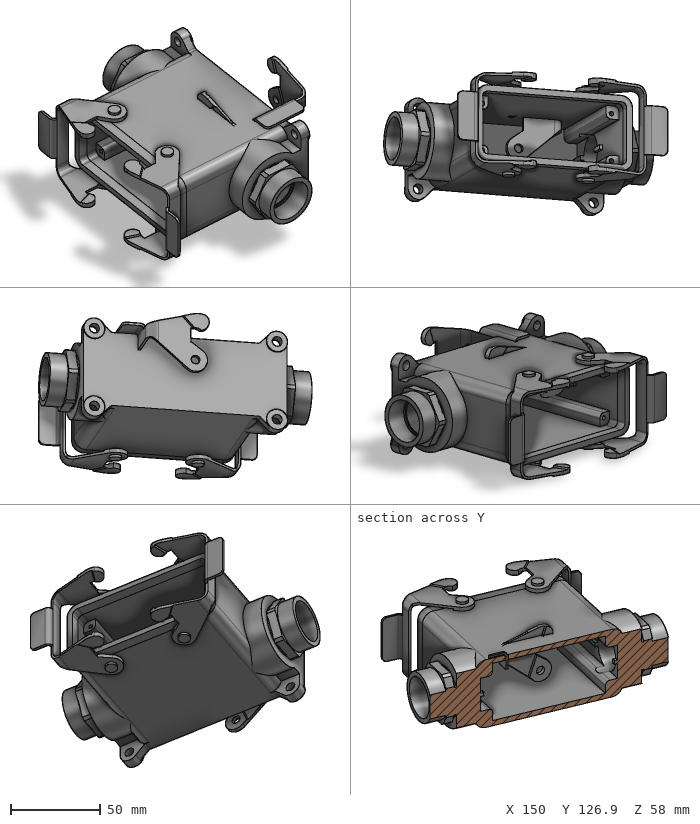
import cadquery as cq
import math


half_width = 46.5
half_height = 21.6
mouth_y = -83.2
rim_depth = 5.7
wall = 3.6
corner_radius = 6.9
seam_y = mouth_y + rim_depth

entry_y = -25.6
entry_face_x = 58.4
bore_diameter = 21.8
neck_diameter = 31.0
neck_length = 1.0
nut_flats = 31.5
nut_rounding_diameter = 35.1
nut_length = 5.5
tube_diameter = 30.0
tube_bore_diameter = 24.3
tube_end_x = 75.0
seat_diameter = 23.7
seat_start_x = 61.8
seat_length = 1.0
saddle_half_height = 15.9

lug_diameter = 12.0
lug_hole_diameter = 5.5
lug_x = entry_face_x - lug_diameter / 2
lug_span = 58.0
lug_z = lug_span / 2 - lug_diameter / 2
lug_front_y = -5.2
lug_pad_height = 1.0
web_blend_radius = 2.0

post_size = 7.6
post_radius = 3.0
post_front_y = -71.1
post_hole_diameter = 2.4
post_hole_depth = 9.0
post_hole_x = 38.4
post_hole_z = 13.5
key_width = 2.0
key_height = 2.5
key_front_y = -45.0

pivot_x = 23.7
pivot_y = -73.2
pin_diameter = 5.0
pin_head_diameter = 7.0
pin_head_height = 1.5

sheet = 1.5
arm_outer = 25.8
bend_radius = 6.0
eye_radius = 6.9
bar_outer = 27.3
bar_start = 12.3
bar_end = 20.1
back_slope = math.radians(40.5)
throat_slope = math.radians(36)
throat_x = 2.7
throat_end = 18.6
hook_x = -3.0
hook_radius = 4.8
hook_z = 22.4
hook_bottom = hook_z + hook_radius
hook_bottom_start = (1.0, 26.8)
hook_bottom_end_x = -4.8
hook_outer = 26.5
hook_inner = 23.4
outer_ramp_foot = (8.2, 25.0)
outer_ramp_direction = (-3.8, -4.2)
outer_ramp_run = 1.2
inner_ramp_foot = (0.5, throat_end)
inner_ramp_direction = (2.0, -5.6)
inner_ramp_run = 1.2
tab_half_length = 14.0
tab_end = 38.8
tab_bend_radius = 1.8
tab_corner_radius = 3.0


def box_between(x0, x1, y0, y1, z0, z1):
    """Box given by its limits along the three axes."""
    box = cq.Workplane("XY").box(x1 - x0, y1 - y0, z1 - z0, centered=False)
    return box.translate((x0, y0, z0))


def rounded_block(inset, start_y, end_y):
    """Block between two Y positions, set in from the rounded outside of the housing."""
    block = box_between(
        inset - half_width, half_width - inset, end_y, start_y, inset - half_height, half_height - inset
    )
    return block.edges("|Y").fillet(corner_radius - inset)


def cylinder_x(diameter, x0, x1):
    """Cylinder on the axis of the cable entries."""
    plane = cq.Workplane("YZ", origin=(x0, entry_y, 0))
    return plane.circle(diameter / 2).extrude(x1 - x0)


def make_entry():
    """Boss, saddle, nut and tube of the cable entry on the +X side, without the bore."""
    inside_x = half_width - corner_radius
    nut_x = entry_face_x + neck_length
    tube_x = nut_x + nut_length
    boss = cylinder_x(2 * half_height, inside_x, entry_face_x)
    saddle = box_between(
        inside_x, entry_face_x, entry_y, 0, -saddle_half_height, saddle_half_height
    )
    neck = cylinder_x(neck_diameter, entry_face_x, nut_x)
    nut = (
        cq.Workplane("YZ", origin=(nut_x, entry_y, 0))
        .transformed(rotate=(0, 0, 30))
        .polygon(6, nut_flats, circumscribed=True)
        .extrude(nut_length)
        .intersect(cylinder_x(nut_rounding_diameter, nut_x, tube_x))
    )
    tube = cylinder_x(tube_diameter, tube_x, tube_end_x)
    return boss.union(saddle).union(neck).union(nut).union(tube)


def make_lug():
    """Upper mounting lug on the +X side, with its web running onto the housing."""
    radius = lug_diameter / 2
    diagonal = radius * math.sqrt(0.5)
    web_top_x = lug_x - diagonal
    web_top_z = lug_z + diagonal
    corner_x = web_top_x - (web_top_z - half_height)
    blend = web_blend_radius * math.tan(math.pi / 8)
    blend_diagonal = blend * math.sqrt(0.5)
    root_x = half_width - corner_radius
    plate = (
        cq.Workplane("XZ")
        .moveTo(lug_x + radius, 0)
        .lineTo(lug_x + radius, lug_z)
        .radiusArc((web_top_x, web_top_z), -radius)
        .lineTo(corner_x + blend_diagonal, half_height + blend_diagonal)
        .radiusArc((corner_x - blend, half_height), web_blend_radius)
        .lineTo(root_x, half_height)
        .lineTo(root_x, 0)
        .close()
        .extrude(-lug_front_y)
    )
    face = cq.Workplane("XZ", origin=(lug_x, lug_pad_height, lug_z))
    thickness = lug_pad_height - lug_front_y
    pad = face.circle(radius).extrude(thickness)
    hole = face.circle(lug_hole_diameter / 2).extrude(thickness)
    return plate.union(pad).cut(hole)


def make_post():
    """Screw post in the upper inner corner on the +X side, rooted halfway into the walls."""
    root = wall / 2
    post = box_between(
        half_width - wall - post_size, half_width - root,
        post_front_y, -root,
        half_height - wall - post_size, half_height - root,
    )
    post = post.edges("|Y and <X and <Z").fillet(post_radius)
    post = post.edges("|Y and >X and >Z").fillet(corner_radius - root)
    hole = (
        cq.Workplane("XZ", origin=(0, post_front_y + post_hole_depth, 0))
        .center(post_hole_x, post_hole_z)
        .circle(post_hole_diameter / 2)
        .extrude(post_hole_depth)
    )
    return post.cut(hole)


def make_key():
    """Small key rib along the inside of the +X wall."""
    inner_x = half_width - wall
    return box_between(
        inner_x - key_width, half_width - wall / 2, key_front_y, -wall / 2, -key_height / 2, key_height / 2
    )


def make_pivot_pin():
    """Headed pin that carries one lever arm, on top of the housing at +X."""
    plane = cq.Workplane("XY").center(pivot_x, pivot_y)
    shaft = plane.workplane(offset=half_height - wall / 2).circle(pin_diameter / 2)
    shaft = shaft.extrude(arm_outer - half_height + wall / 2)
    head = plane.workplane(offset=arm_outer).circle(pin_head_diameter / 2).extrude(pin_head_height)
    return shaft.union(head)


def four_copies(feature):
    """The feature together with its mirror images in the planes X = 0 and Z = 0."""
    pair = feature.union(feature.mirror("YZ"))
    return pair.union(pair.mirror("XY"))


def make_housing(stowed_lever):
    """Housing with entries, lugs, posts and pins, opened where the stowed lever passes."""
    housing = rounded_block(0, 0, seam_y)
    for feature in (make_entry(), make_lug(), make_pivot_pin()):
        housing = housing.union(four_copies(feature))
    housing = housing.cut(rounded_block(wall, -wall, seam_y))
    for feature in (make_post(), make_key()):
        housing = housing.union(four_copies(feature))

    housing = housing.cut(cylinder_x(bore_diameter, -tube_end_x, tube_end_x))
    seat = cylinder_x(seat_diameter, seat_start_x, tube_end_x)
    tube_bore = cylinder_x(tube_bore_diameter, seat_start_x + seat_length, tube_end_x)
    for recess in (seat, tube_bore):
        housing = housing.cut(four_copies(recess))
    return housing.cut(stowed_lever)


def make_rim():
    """Rim that closes the mouth of the housing."""
    return rounded_block(0, seam_y, mouth_y).cut(rounded_block(wall, seam_y, mouth_y))


def lever_outline():
    """Side outline of a lever arm in the XZ plane, with the pivot at the origin."""
    eye_back = (eye_radius * math.sin(back_slope), -eye_radius * math.cos(back_slope))
    eye_front = (-eye_radius * math.sin(throat_slope), eye_radius * math.cos(throat_slope))
    back_end_x = eye_back[0] + (bar_start - eye_back[1]) / math.tan(back_slope)
    throat_z = eye_front[1] + (throat_x - eye_front[0]) * math.tan(throat_slope)
    hook_bottom_end_z = hook_z + math.sqrt(hook_radius**2 - (hook_bottom_end_x - hook_x) ** 2)
    hook_bottom_middle_x = (hook_bottom_start[0] + hook_bottom_end_x) / 2
    throat_hook_x = hook_x + math.sqrt(hook_radius**2 - (hook_z - throat_end) ** 2)
    return (
        cq.Workplane("XZ")
        .moveTo(*eye_back)
        .lineTo(back_end_x, bar_start)
        .lineTo(bar_outer, bar_start)
        .lineTo(bar_outer, bar_end)
        .lineTo(*hook_bottom_start)
        .threePointArc((hook_bottom_middle_x, hook_bottom), (hook_bottom_end_x, hook_bottom_end_z))
        .threePointArc((hook_x - hook_radius, hook_z), (hook_x, hook_z - hook_radius))
        .radiusArc((throat_hook_x, throat_end), hook_radius)
        .lineTo(throat_x, throat_end)
        .lineTo(throat_x, throat_z)
        .lineTo(*eye_front)
        .threePointArc(
            (-eye_radius * math.cos(throat_slope), -eye_radius * math.sin(throat_slope)), eye_back
        )
        .close()
    )


def hook_ramp(foot, direction, low_y, high_y, run):
    """Prism over the hook side of a slanting line; its top climbs from low_y to high_y within the run."""
    reach = 30.0
    along = cq.Vector(direction[0], 0, direction[1]).normalized()
    across = cq.Vector(0, 1, 0).cross(along)
    plane = cq.Plane(origin=(foot[0], 0, foot[1]), xDir=across, normal=along)
    points = [(0, low_y), (run, high_y), (reach, high_y), (reach, low_y)]
    return cq.Workplane(plane).polyline(points).close().extrude(reach, both=True)


def make_hook():
    """Thickened hook end of the arm on the +Y side."""
    plate = lever_outline().extrude(-hook_outer)
    arm_middle = arm_outer - sheet / 2
    outer = plate.intersect(
        hook_ramp(outer_ramp_foot, outer_ramp_direction, arm_middle, hook_outer, outer_ramp_run)
    )
    inner = plate.intersect(
        hook_ramp(inner_ramp_foot, inner_ramp_direction, arm_middle, hook_inner, inner_ramp_run)
    )
    return outer.union(inner)


def make_lever():
    """Locking lever: two hooked arms bent from a bar with a thumb tab; pivot axis along Y."""
    reach = 2 * hook_bottom
    outside = box_between(-reach, bar_outer, -arm_outer, arm_outer, -reach, reach)
    outside = outside.edges("|Z and >X").fillet(bend_radius)
    bar_inner = bar_outer - sheet
    arm_inner = arm_outer - sheet
    inside = box_between(-reach, bar_inner, -arm_inner, arm_inner, -reach, reach)
    inside = inside.edges("|Z and >X").fillet(bend_radius - sheet)
    channel = outside.cut(inside)
    lever = lever_outline().extrude(arm_outer, both=True).intersect(channel)

    hook = make_hook()
    lever = lever.union(hook).union(hook.mirror("XZ"))

    bend_x = bar_outer + tab_bend_radius
    tab_back = bar_end + tab_bend_radius
    tab_front = tab_back + sheet
    tab = (
        cq.Workplane("XZ")
        .moveTo(bar_inner, bar_start)
        .lineTo(bar_inner, bar_end)
        .radiusArc((bend_x, tab_front), tab_bend_radius + sheet)
        .lineTo(tab_end, tab_front)
        .lineTo(tab_end, tab_back)
        .lineTo(bend_x, tab_back)
        .radiusArc((bar_outer, bar_end), -tab_bend_radius)
        .lineTo(bar_outer, bar_start)
        .close()
        .extrude(tab_half_length, both=True)
    )
    tab = tab.edges("|Z and >X").fillet(tab_corner_radius)
    eye = cq.Workplane("XZ").circle(pin_diameter / 2).extrude(hook_outer, both=True)
    return lever.union(tab).cut(eye)


stowed_lever = make_lever()

side_levers = []
for turn in (0, 180):
    lever = make_lever().rotate((0, 0, 0), (1, 0, 0), 90).translate((pivot_x, pivot_y, 0))
    side_levers.append(lever.rotate((0, 0, 0), (0, 1, 0), turn))

housing = make_housing(stowed_lever)
rim = make_rim()

result = cq.Compound.makeCompound(
    [housing.val(), rim.val(), stowed_lever.val(), *(lever.val() for lever in side_levers)]
)